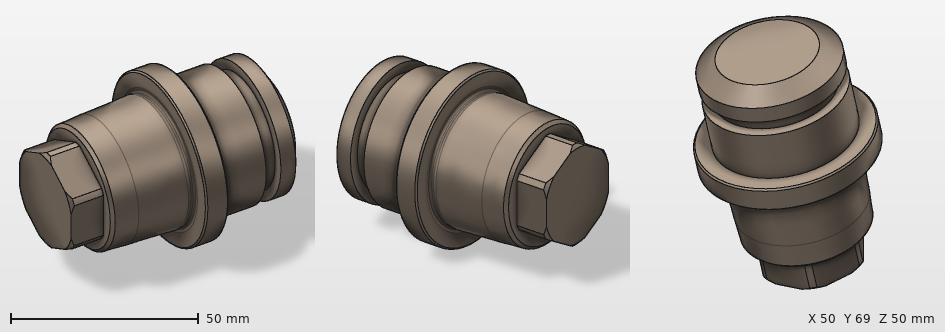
import cadquery as cq
import math

total_length = 69.0

hex_length = 10.0
hex_across_flats = 27.0
hex_corner_radius = 15.05
hex_chamfer = 1.0

taper_front_radius = 18.0
taper_middle_radius = 18.4
taper_back_radius = 19.1
taper_chamfer = 1.0
taper_middle_y = 18.0
taper_back_y = 33.0

relief_radius = 18.9
relief_start_y = 33.9
relief_corner = 0.6
relief_outer_radius = 20.35
relief_depth = 0.15

flange_radius = 25.01
flange_front_y = 35.0
flange_thickness = 7.05
flange_chamfer = 0.5
flange_back_y = flange_front_y + flange_thickness

plug_radius = 20.0
groove_radius = 17.05
groove_front_y = 56.45
groove_width = 4.55
groove_back_y = groove_front_y + groove_width
nose_radius = 14.15
nose_angle = math.radians(30)
nose_length = (plug_radius - nose_radius) * math.tan(nose_angle)


def make_body():
    """Revolve the round sections, drawn as (radius, Y), about the Y axis."""
    relief_floor_y = flange_front_y + relief_depth
    corner_start_y = relief_floor_y - relief_corner
    corner_end_radius = relief_radius + relief_corner
    arc_inset = relief_corner * (1 - math.sqrt(0.5))
    return (
        cq.Workplane("XY")
        .moveTo(0, hex_length)
        .lineTo(taper_front_radius - taper_chamfer, hex_length)
        .lineTo(taper_front_radius, hex_length + taper_chamfer)
        .lineTo(taper_middle_radius, taper_middle_y)
        .lineTo(taper_back_radius, taper_back_y)
        .lineTo(relief_radius, relief_start_y)
        .lineTo(relief_radius, corner_start_y)
        .threePointArc(
            (relief_radius + arc_inset, relief_floor_y - arc_inset),
            (corner_end_radius, relief_floor_y),
        )
        .lineTo(relief_outer_radius, flange_front_y)
        .lineTo(flange_radius - flange_chamfer, flange_front_y)
        .lineTo(flange_radius, flange_front_y + flange_chamfer)
        .lineTo(flange_radius, flange_back_y - flange_chamfer)
        .lineTo(flange_radius - flange_chamfer, flange_back_y)
        .lineTo(plug_radius, flange_back_y)
        .lineTo(plug_radius, groove_front_y)
        .lineTo(groove_radius, groove_front_y)
        .lineTo(groove_radius, groove_back_y)
        .lineTo(plug_radius, groove_back_y)
        .lineTo(plug_radius, total_length - nose_length)
        .lineTo(nose_radius, total_length)
        .lineTo(0, total_length)
        .close()
        .revolve(360, (0, 0, 0), (0, 1, 0))
    )


def make_hex_head():
    """Hexagon with flats facing +X and -X, its corners trimmed by a chamfered cylinder."""
    corner_diameter = hex_across_flats / math.cos(math.pi / 6)
    hexagon = (
        cq.Workplane("XZ")
        .transformed(rotate=(0, 0, 30))
        .polygon(6, corner_diameter)
        .extrude(-hex_length)
    )
    trim = (
        cq.Workplane("XZ")
        .circle(hex_corner_radius)
        .extrude(-hex_length)
        .faces("<Y")
        .chamfer(hex_chamfer)
    )
    return hexagon.intersect(trim)


result = make_body().union(make_hex_head())